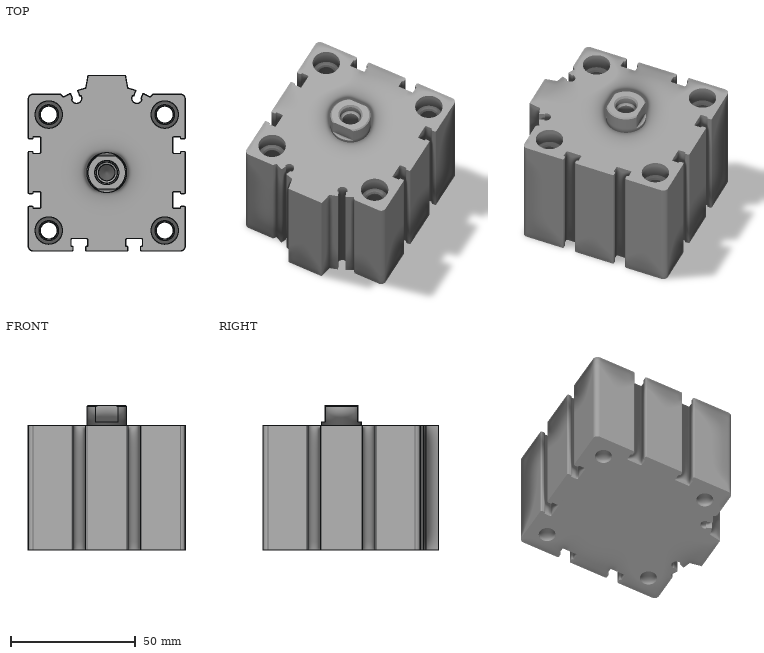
import cadquery as cq
import math

overall_depth = 70.5
body_width = 63.0
body_height = 50.0
half_width = body_width / 2
corner_radius = 2.0

pad_radius = 35.0
rail_top_y = overall_depth - half_width
rail_top_half_width = 7.55
rail_root_half_width = 8.45
notch_outer_x = 18.5
notch_root_x = 17.5

keyhole_diameter = 4.0
keyhole_radius = 32.15
keyhole_angle = 22.1
keyhole_mouth = 3.0
keyhole_ledge = 0.4
keyhole_overcut = 0.7

slot_offset = 11.0
slot_mouth = 5.0
slot_inner_width = 6.55
slot_depth = 5.0
slot_lip = 2.0
lip_radius = 0.5
floor_radius = 0.35

mount_offset = 23.3
mount_diameter = 6.8
mount_chamfer_diameter = 8.0
counterbore_diameter = 11.0
counterbore_depth = 6.8

rod_diameter = 16.0
rod_top = 58.0
rod_insertion = 20.0
rod_bottom = body_height - rod_insertion
rod_chamfer = 0.5
flat_width = 13.1
flat_bottom = body_height + 1.4

bore_diameter = 8.6
bore_mouth_diameter = 9.7
bore_chamfer_depth = 0.85
step_diameter = 8.4
bore_depth = 3.4
pilot_diameter = 6.6
pilot_depth = 15.0
drill_point_angle = 118


def point_on_pad(x):
    """Point of the pad arc at the given X."""
    return (x, math.sqrt(pad_radius**2 - x**2))


def make_block():
    """Rounded square with the pad and its tapered rail on the +Y side."""
    square = (
        cq.Workplane("XY")
        .rect(body_width, body_width)
        .extrude(body_height)
        .edges("|Z")
        .fillet(corner_radius)
    )
    notch_root = point_on_pad(notch_root_x)
    rail_root = point_on_pad(rail_root_half_width)
    shoulder_middle = point_on_pad((notch_root_x + rail_root_half_width) / 2)

    def mirrored(point):
        return (-point[0], point[1])

    opening = (
        cq.Workplane("XY")
        .moveTo(-notch_outer_x, half_width)
        .lineTo(*mirrored(notch_root))
        .lineTo(*notch_root)
        .lineTo(notch_outer_x, half_width)
        .close()
        .extrude(body_height)
    )
    pad = (
        cq.Workplane("XY")
        .moveTo(-notch_root[0], 0)
        .lineTo(*mirrored(notch_root))
        .threePointArc(mirrored(shoulder_middle), mirrored(rail_root))
        .lineTo(-rail_top_half_width, rail_top_y)
        .lineTo(rail_top_half_width, rail_top_y)
        .lineTo(*rail_root)
        .threePointArc(shoulder_middle, notch_root)
        .lineTo(notch_root[0], 0)
        .close()
        .extrude(body_height)
    )
    return square.cut(opening).union(pad)


def make_keyhole(angle):
    """Round-bottomed groove with a narrower radial mouth, turned from +Y by angle."""
    r = keyhole_diameter / 2
    half_mouth = keyhole_mouth / 2
    ledge = keyhole_radius + keyhole_ledge
    outer_end = pad_radius + keyhole_overcut
    return (
        cq.Workplane("XY")
        .moveTo(-r, keyhole_radius)
        .threePointArc((0, keyhole_radius - r), (r, keyhole_radius))
        .lineTo(r, ledge)
        .lineTo(half_mouth, ledge)
        .lineTo(half_mouth, outer_end)
        .lineTo(-half_mouth, outer_end)
        .lineTo(-half_mouth, ledge)
        .lineTo(-r, ledge)
        .close()
        .extrude(body_height)
        .rotate((0, 0, 0), (0, 0, 1), angle)
    )


def make_slot(offset, side_angle):
    """T-slot with rounded lips, made in the -Y side and turned to its own side."""
    half_mouth = slot_mouth / 2
    half_inner = slot_inner_width / 2
    face = -half_width
    lip_end = face + slot_lip
    floor = face + slot_depth
    floor_bend = floor_radius * math.sqrt(0.5)
    bend = lip_radius * math.sqrt(0.5)
    half = (
        cq.Workplane("XY")
        .moveTo(0, face)
        .lineTo(half_mouth + lip_radius, face)
        .threePointArc(
            (half_mouth + lip_radius - bend, face + lip_radius - bend),
            (half_mouth, face + lip_radius),
        )
        .lineTo(half_mouth, lip_end - lip_radius)
        .threePointArc(
            (half_mouth + lip_radius - bend, lip_end - lip_radius + bend),
            (half_mouth + lip_radius, lip_end),
        )
        .lineTo(half_inner, lip_end)
        .lineTo(half_inner, floor - floor_radius)
        .threePointArc(
            (half_inner - floor_radius + floor_bend, floor - floor_radius + floor_bend),
            (half_inner - floor_radius, floor),
        )
        .lineTo(0, floor)
        .close()
        .extrude(body_height)
    )
    slot = half.union(half.mirror("YZ"))
    return slot.translate((offset, 0, 0)).rotate((0, 0, 0), (0, 0, 1), side_angle)


def make_mount_hole(x, y):
    """Through hole with a counterbore from above and a chamfered step."""
    r = mount_diameter / 2
    chamfer_r = mount_chamfer_diameter / 2
    counterbore_r = counterbore_diameter / 2
    step = body_height - counterbore_depth
    return (
        cq.Workplane("XZ")
        .moveTo(0, 0)
        .lineTo(r, 0)
        .lineTo(r, step - (chamfer_r - r))
        .lineTo(chamfer_r, step)
        .lineTo(counterbore_r, step)
        .lineTo(counterbore_r, body_height)
        .lineTo(0, body_height)
        .close()
        .revolve(360, (0, 0, 0), (0, 1, 0))
        .translate((x, y, 0))
    )


def make_housing():
    """Block with its grooves, T-slots, mounting holes and the seat of the rod."""
    housing = make_block()
    for angle in (-keyhole_angle, keyhole_angle):
        housing = housing.cut(make_keyhole(angle))
    for side_angle in (-90, 0, 90):
        for offset in (-slot_offset, slot_offset):
            housing = housing.cut(make_slot(offset, side_angle))
    for x in (-mount_offset, mount_offset):
        for y in (-mount_offset, mount_offset):
            housing = housing.cut(make_mount_hole(x, y))
    rod_seat = (
        cq.Workplane("XY")
        .workplane(offset=rod_bottom)
        .circle(rod_diameter / 2)
        .extrude(rod_insertion)
    )
    return housing.cut(rod_seat)


def make_rod_bore():
    """Stepped blind hole with a chamfered mouth and a conical end."""
    bore_r = bore_diameter / 2
    mouth_r = bore_mouth_diameter / 2
    pilot_r = pilot_diameter / 2
    pilot_end = rod_top - pilot_depth
    step_r = step_diameter / 2
    bore_end = rod_top - bore_depth
    point_slope = math.tan(math.radians(90 - drill_point_angle / 2))
    return (
        cq.Workplane("XZ")
        .moveTo(0, pilot_end - pilot_r * point_slope)
        .lineTo(pilot_r, pilot_end)
        .lineTo(pilot_r, bore_end - (step_r - pilot_r) * point_slope)
        .lineTo(step_r, bore_end)
        .lineTo(bore_r, bore_end)
        .lineTo(bore_r, rod_top - bore_chamfer_depth)
        .lineTo(mouth_r, rod_top)
        .lineTo(0, rod_top)
        .close()
        .revolve(360, (0, 0, 0), (0, 1, 0))
    )


def make_rod():
    """Chamfered round bar with two wrench flats and a blind hole in its top."""
    rod = (
        cq.Workplane("XY")
        .workplane(offset=rod_bottom)
        .circle(rod_diameter / 2)
        .extrude(rod_top - rod_bottom)
        .faces(">Z")
        .edges()
        .chamfer(rod_chamfer)
    )
    flat_center = (flat_width + rod_diameter) / 2
    for y in (-flat_center, flat_center):
        flat_cut = (
            cq.Workplane("XY")
            .workplane(offset=flat_bottom)
            .center(0, y)
            .rect(rod_diameter, rod_diameter)
            .extrude(rod_top - flat_bottom)
        )
        rod = rod.cut(flat_cut)
    return rod.cut(make_rod_bore())


housing = make_housing()
rod = make_rod()
result = cq.Compound.makeCompound([housing.val(), rod.val()])